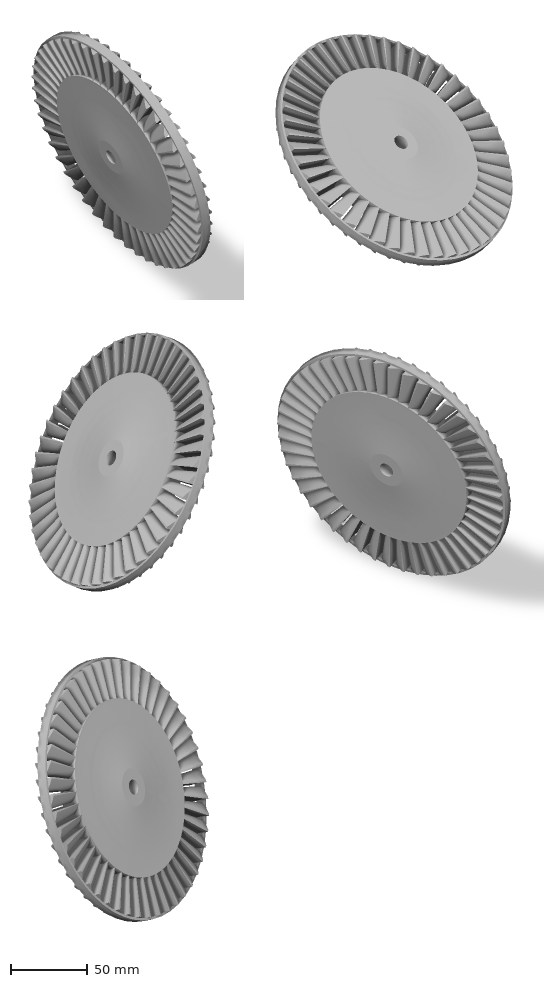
import cadquery as cq
import math

bore_radius = 5.0
hub_face_radius = 12.6
hub_width = 19.0
hub_half_width = hub_width / 2
land_radius = 58.0
disc_radius = 59.5
disc_half_width = 6.5

ring_outer_radius = 87.5
ring_inner_radius = 85.8
ring_half_width = disc_half_width / 2

blade_count = 48
blade_half_width = disc_half_width
passage_gap = 1.4
trailing_offset = 0.9
root_horn_thickness = 0.04
tip_horn_thickness = 1.5
root_hollow = 1.4
tip_hollow = 0.5
root_flank_slope = 1.9
tip_flank_slope = 1.5
blade_overlap = 0.9

pitch_angle = 360 / blade_count


def make_disc():
    """Disc with a flat hub face that sweeps down to a flat land at its edge."""
    half = (
        cq.Workplane("XY")
        .moveTo(bore_radius, 0)
        .lineTo(disc_radius, 0)
        .lineTo(disc_radius, disc_half_width)
        .lineTo(land_radius, disc_half_width)
        .tangentArcPoint((hub_face_radius, hub_half_width), relative=False)
        .lineTo(bore_radius, hub_half_width)
        .close()
        .revolve(360, (0, 0, 0), (0, 1, 0))
    )
    return half.union(half.mirror("XZ"))


def make_annulus(outer_radius, inner_radius, half_width):
    """Plain ring about the Y axis, centred on the origin."""
    return (
        cq.Workplane("XZ", origin=(0, -half_width, 0))
        .circle(outer_radius)
        .circle(inner_radius)
        .extrude(-2 * half_width)
    )


def blade_section(radius, horn_thickness, hollow, flank_slope):
    """Crescent section at a radius: convex towards -X, hollow towards +X."""
    depth = math.radians(pitch_angle) * radius - passage_gap
    back = trailing_offset
    front = back - horn_thickness
    apex = back - depth
    flank_run = flank_slope * (front - apex)
    w = blade_half_width
    return (
        cq.Workplane("XY", origin=(0, 0, radius))
        .moveTo(back, -w)
        .threePointArc((back - hollow, 0), (back, w))
        .lineTo(front, w)
        .spline(
            [(apex, 0), (front, -w)],
            tangents=[(-flank_run, -w), (flank_run, -w)],
            includeCurrent=True,
        )
        .close()
        .wires()
        .val()
    )


def make_blade():
    """Blade along +Z, lofted from a sharp-edged root to a thicker tip."""
    root = blade_section(
        disc_radius - blade_overlap, root_horn_thickness, root_hollow, root_flank_slope
    )
    tip = blade_section(
        ring_inner_radius + blade_overlap, tip_horn_thickness, tip_hollow, tip_flank_slope
    )
    blank = cq.Workplane(cq.Solid.makeLoft([root, tip], True))
    return blank.intersect(
        make_annulus(ring_inner_radius, land_radius, blade_half_width)
    )


blade = make_blade().val()
blades = [
    blade.rotate(cq.Vector(0, 0, 0), cq.Vector(0, 1, 0), i * pitch_angle)
    for i in range(blade_count)
]
disc = make_disc().val()
ring = make_annulus(ring_outer_radius, ring_inner_radius, ring_half_width).val()

result = cq.Workplane(disc.fuse(ring, *blades))